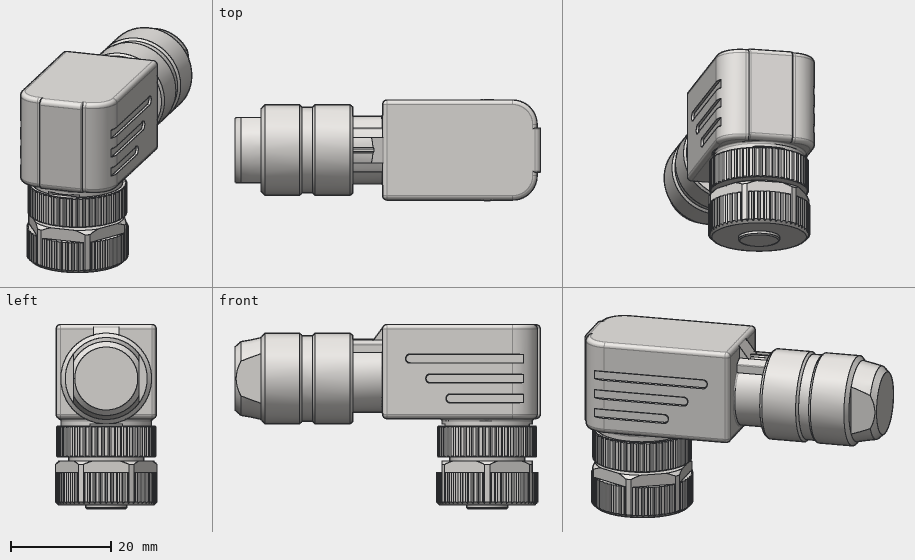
import cadquery as cq
import math

OVERLAP = 0.6

HOUSING_START = 29.4
HOUSING_END = 60.2
HOUSING_WIDTH = 20.0
HOUSING_TOP = 10.8
HOUSING_BOTTOM = -8.05
HOUSING_HEIGHT = HOUSING_TOP - HOUSING_BOTTOM
HOUSING_CORNER = 4.95
HOUSING_ROUND = 0.9

PANEL_END = 60.9
PANEL_WIDTH = 8.9
PANEL_ROUND = 1.1
PANEL_EDGE_ROUND = 0.25

SLOT_WIDTH = 1.8
SLOT_FLOOR_WIDTH = 1.65
SLOT_DEPTH = 0.5
SLOT_PITCH = 3.95
FIRST_SLOT_START = 34.0
SLOT_START_STEP = 4.0
SLOT_COUNT = 3

NECK_RADIUS = 6.75
NECK_FILLET = 0.25
PAD_RADIUS = 7.55
PAD_WIDTH = 5.05
RAIL_RADIUS = 8.1
RAILS_WIDTH = 8.7
RAIL_ROUND = 0.25
RIDGE_TOP = 7.85
RIDGE_BASE_WIDTH = 1.1
RIDGE_TOP_WIDTH = 0.5
WEDGE_FOOT = (27.0, 6.8)
WEDGE_HEAD = (29.65, 10.5)

TIP_CONE_END = 1.2
TIP_RADIUS = 6.3
TIP_CONE_RADIUS = 7.35
NUT_START = 5.2
NUT_START_RADIUS = 8.15
NUT_RADIUS = 18.1 / 2
NUT_FIRST_BAND = (5.95, 12.9)
NUT_GROOVE = (13.4, 15.45)
NUT_GROOVE_RADIUS = 17.1 / 2
NUT_SECOND_BAND = (15.95, 22.95)
NUT_END = 23.5
NUT_END_RADIUS = 8.6
WRENCH_FLATS = 13.05

PLUG_X = HOUSING_END - HOUSING_WIDTH / 2
COLLAR_RADIUS = 9.0
COLLAR_FILLET = 0.4
COLLAR_FLATS = 16.8
COLLAR_FLATS_TOP = -9.1
RING_TOP = -9.5
RING_BOTTOM = -15.65
RING_RADIUS = 9.85
RING_TEETH = 48
RING_CHAMFER = 0.2
PLUG_NECK_RADIUS = 7.5
HEX_TOP = -16.4
HEX_FLATS = 2 * COLLAR_RADIUS
HEX_CHAMFER = 0.75
KNURL_TOP = -18.75
KNURL_BOTTOM = -25.2
KNURL_RADIUS = 10.1
KNURL_TEETH = 54
KNURL_CHAMFER = 0.7
KNURL_DEPTH = 0.3
SPIGOT_RADIUS = 8.2 / 2
SPIGOT_BOTTOM = -25.95
SPIGOT_CHAMFER = 0.25


def x_cylinder(radius, start, end):
    return cq.Workplane("YZ", origin=(start, 0, 0)).circle(radius).extrude(end - start)


def plug_cylinder(radius, top, bottom):
    return cq.Workplane("XY", origin=(PLUG_X, 0, bottom)).circle(radius).extrude(top - bottom)


def plug_box(length_x, width_y, top, bottom):
    plane = cq.Workplane("XY", origin=(PLUG_X, 0, bottom))
    return plane.rect(length_x, width_y).extrude(top - bottom)


def housing():
    length = HOUSING_END - HOUSING_START
    block = (
        cq.Workplane("XY", origin=(HOUSING_START, 0, HOUSING_BOTTOM))
        .box(length, HOUSING_WIDTH, HOUSING_HEIGHT, centered=(False, True, False))
        .faces(">X")
        .edges("|Z")
        .fillet(HOUSING_CORNER)
    )
    block = block.faces("<X or >Z or <Z").edges().fillet(HOUSING_ROUND)
    panel_length = PANEL_END - HOUSING_END + HOUSING_CORNER
    panel = (
        cq.Workplane("XY", origin=(PANEL_END - panel_length, 0, HOUSING_BOTTOM))
        .box(panel_length, PANEL_WIDTH, HOUSING_HEIGHT, centered=(False, True, False))
        .edges("|Y and >X")
        .fillet(PANEL_ROUND)
        .faces(">X")
        .edges("|Z")
        .fillet(PANEL_EDGE_ROUND)
    )
    return block.union(panel)


def grip_slots():
    """Slots on the -Y side; they run out through the rounded housing corner."""
    draft = math.degrees(math.atan((SLOT_WIDTH - SLOT_FLOOR_WIDTH) / 2 / SLOT_DEPTH))
    slots = cq.Workplane("XY")
    for i in range(SLOT_COUNT):
        start = FIRST_SLOT_START + i * SLOT_START_STEP
        length = PANEL_END - start
        slot = (
            cq.Workplane("XZ", origin=(start + length / 2, -HOUSING_WIDTH / 2, SLOT_PITCH * (1 - i)))
            .slot2D(length, SLOT_WIDTH)
            .extrude(-SLOT_DEPTH, taper=draft)
        )
        slots = slots.union(slot)
    return slots


def neck():
    start = NUT_END - OVERLAP
    end = HOUSING_START + OVERLAP
    length = end - start
    raised = cq.Workplane("XY", origin=(start, 0, 0))
    rails = raised.box(length, RAILS_WIDTH, RAIL_RADIUS, centered=(False, True, False))
    rails = rails.intersect(x_cylinder(RAIL_RADIUS, start, end))
    rails = rails.faces("<Y or >Y").edges(">Z").fillet(RAIL_ROUND)
    channel = raised.box(length, PAD_WIDTH, RAIL_RADIUS, centered=(False, True, False))
    channel = channel.cut(x_cylinder(PAD_RADIUS, start, end))
    ridge = (
        cq.Workplane("YZ", origin=(start, 0, 0))
        .moveTo(-RIDGE_BASE_WIDTH / 2, NECK_RADIUS)
        .lineTo(-RIDGE_BASE_WIDTH / 2, PAD_RADIUS)
        .lineTo(-RIDGE_TOP_WIDTH / 2, RIDGE_TOP)
        .lineTo(RIDGE_TOP_WIDTH / 2, RIDGE_TOP)
        .lineTo(RIDGE_BASE_WIDTH / 2, PAD_RADIUS)
        .lineTo(RIDGE_BASE_WIDTH / 2, NECK_RADIUS)
        .close()
        .extrude(length)
    )
    flare = (
        cq.Workplane("XY")
        .moveTo(HOUSING_START - NECK_FILLET, 0)
        .lineTo(HOUSING_START - NECK_FILLET, NECK_RADIUS)
        .radiusArc((HOUSING_START, NECK_RADIUS + NECK_FILLET), -NECK_FILLET)
        .lineTo(HOUSING_START, 0)
        .close()
        .revolve(360, (0, 0, 0), (1, 0, 0))
    )
    wedge = (
        cq.Workplane("XZ", origin=(0, PAD_WIDTH / 2, 0))
        .moveTo(*WEDGE_FOOT)
        .lineTo(*WEDGE_HEAD)
        .lineTo(end, WEDGE_HEAD[1])
        .lineTo(end, WEDGE_FOOT[1])
        .close()
        .extrude(PAD_WIDTH)
    )
    body = x_cylinder(NECK_RADIUS, start, end).union(flare)
    return body.union(rails.cut(channel)).union(ridge).union(wedge)


def cable_nut():
    tip = (
        cq.Workplane("XY")
        .polyline(
            [
                (0, 0),
                (0, TIP_RADIUS),
                (TIP_CONE_END, TIP_CONE_RADIUS),
                (NUT_START, NUT_START_RADIUS),
                (NUT_START, 0),
            ]
        )
        .close()
        .revolve(360, (0, 0, 0), (1, 0, 0))
    )
    flats = cq.Workplane("XY").box(2 * NUT_START, WRENCH_FLATS, 4 * NUT_RADIUS)
    sleeve = (
        cq.Workplane("XY")
        .polyline(
            [
                (NUT_START, 0),
                (NUT_START, NUT_START_RADIUS),
                (NUT_FIRST_BAND[0], NUT_RADIUS),
                (NUT_FIRST_BAND[1], NUT_RADIUS),
                (NUT_GROOVE[0], NUT_GROOVE_RADIUS),
                (NUT_GROOVE[1], NUT_GROOVE_RADIUS),
                (NUT_SECOND_BAND[0], NUT_RADIUS),
                (NUT_SECOND_BAND[1], NUT_RADIUS),
                (NUT_END, NUT_END_RADIUS),
                (NUT_END, 0),
            ]
        )
        .close()
        .revolve(360, (0, 0, 0), (1, 0, 0))
    )
    return tip.intersect(flats).union(sleeve)


def collar():
    """Disc under the housing with a concave round at the top and two flats facing along X."""
    flare = (
        cq.Workplane("XZ", origin=(PLUG_X, 0, 0))
        .moveTo(0, HOUSING_BOTTOM)
        .lineTo(COLLAR_RADIUS + COLLAR_FILLET, HOUSING_BOTTOM)
        .radiusArc((COLLAR_RADIUS, HOUSING_BOTTOM - COLLAR_FILLET), -COLLAR_FILLET)
        .lineTo(0, HOUSING_BOTTOM - COLLAR_FILLET)
        .close()
        .revolve(360, (0, 0, 0), (0, 1, 0))
    )
    disc = plug_cylinder(COLLAR_RADIUS, HOUSING_BOTTOM + OVERLAP, COLLAR_FLATS_TOP)
    flatted = plug_cylinder(COLLAR_RADIUS, COLLAR_FLATS_TOP, RING_TOP).intersect(
        plug_box(COLLAR_FLATS, 2 * COLLAR_RADIUS, COLLAR_FLATS_TOP, RING_TOP)
    )
    return flare.union(disc).union(flatted)


def knurled_disc(radius, teeth, top, bottom):
    """Disc with V grooves and narrow flat-topped teeth; one tooth is centred on -Y."""
    pitch = 2 * math.pi / teeth
    points = []
    for i in range(teeth):
        tooth = i * pitch - math.pi / 2
        for angle, r in (
            (tooth - pitch / 4, radius),
            (tooth + pitch / 4, radius),
            (tooth + pitch / 2, radius - KNURL_DEPTH),
        ):
            points.append((r * math.cos(angle), r * math.sin(angle)))
    plane = cq.Workplane("XY", origin=(PLUG_X, 0, bottom))
    return plane.polyline(points).close().extrude(top - bottom)


def knurled_ring():
    envelope = plug_cylinder(RING_RADIUS, RING_TOP, RING_BOTTOM).edges().chamfer(RING_CHAMFER)
    return knurled_disc(RING_RADIUS, RING_TEETH, RING_TOP, RING_BOTTOM).intersect(envelope)


def coupling_nut():
    """Hexagon with two of its rounded corners on +Y and -Y, running down through a knurled grip."""
    across_corners = HEX_FLATS / math.cos(math.pi / 6)
    hexagon = (
        cq.Workplane("XY", origin=(PLUG_X, 0, KNURL_BOTTOM + KNURL_CHAMFER))
        .transformed(rotate=(0, 0, 90))
        .polygon(6, across_corners)
        .extrude(HEX_TOP - KNURL_BOTTOM - KNURL_CHAMFER)
    )
    hex_envelope = plug_cylinder(KNURL_RADIUS, HEX_TOP, KNURL_BOTTOM)
    hex_envelope = hex_envelope.edges(">Z").chamfer(HEX_CHAMFER)
    grip_envelope = plug_cylinder(KNURL_RADIUS, KNURL_TOP, KNURL_BOTTOM)
    grip_envelope = grip_envelope.edges("<Z").chamfer(KNURL_CHAMFER)
    grip = knurled_disc(KNURL_RADIUS, KNURL_TEETH, KNURL_TOP, KNURL_BOTTOM)
    return hexagon.intersect(hex_envelope).union(grip.intersect(grip_envelope))


def plug():
    plug_neck = plug_cylinder(PLUG_NECK_RADIUS, RING_BOTTOM, HEX_TOP)
    spigot = plug_cylinder(SPIGOT_RADIUS, KNURL_BOTTOM, SPIGOT_BOTTOM)
    spigot = spigot.edges("<Z").chamfer(SPIGOT_CHAMFER)
    return collar().union(knurled_ring()).union(plug_neck).union(coupling_nut()).union(spigot)


slots = grip_slots()
body = housing().cut(slots).cut(slots.mirror("XZ"))
result = body.union(neck()).union(cable_nut()).union(plug())